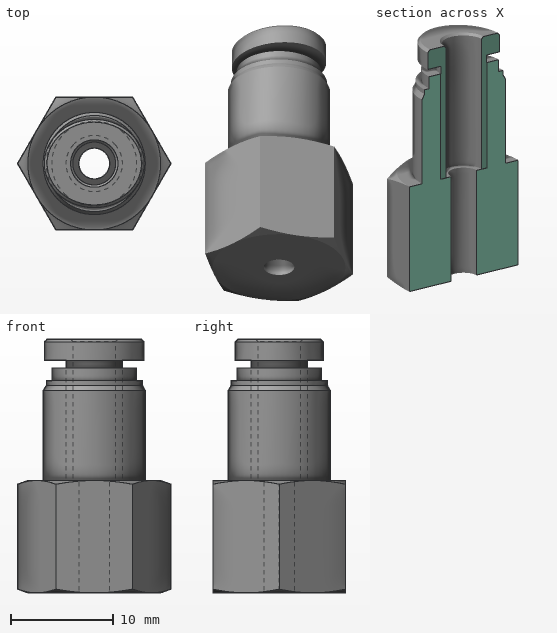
import cadquery as cq
import math

total_height = 24.8
hex_height = 10.99
shoulder_chamfer_start = 19.77
lip_start = 20.29
lip_top = 20.75
collar_top = 22.0
cap_bottom = 22.75

hex_across_flats = 13.0
hex_across_corners = hex_across_flats / math.cos(math.pi / 6)
hex_chamfer_angle = math.radians(20)
barrel_diameter = 10.0
lip_diameter = 9.4
collar_diameter = 8.3
passage_diameter = 3.0

sleeve_diameter = 5.5
sleeve_bottom = hex_height
tube_bore_diameter = 4.2
bore_chamfer = 0.22
cap_length = 9.77
cap_width = 8.63
cap_chamfer = 0.27


def revolve_profile(points):
    """Turn a closed radius-height outline about the Z axis."""
    return cq.Workplane("XZ").polyline(points).close().revolve(360, (0, 0, 0), (0, 1, 0))


def make_hexagon():
    """Hexagonal base with flats facing +Y and -Y and conically turned-down corners at both ends."""
    prism = cq.Workplane("XY").polygon(6, hex_across_corners).extrude(hex_height)
    flat_radius = hex_across_flats / 2
    corner_radius = hex_across_corners / 2
    corner_drop = (corner_radius - flat_radius) * math.tan(hex_chamfer_angle)
    turning_envelope = revolve_profile([
        (0, 0),
        (flat_radius, 0),
        (corner_radius, corner_drop),
        (corner_radius, hex_height - corner_drop),
        (flat_radius, hex_height),
        (0, hex_height),
    ])
    return prism.intersect(turning_envelope)


def make_barrel():
    """Round upper part of the housing, stepping in from the barrel to the lip and the collar."""
    return revolve_profile([
        (0, 0),
        (barrel_diameter / 2, 0),
        (barrel_diameter / 2, shoulder_chamfer_start),
        (lip_diameter / 2, lip_start),
        (lip_diameter / 2, lip_top),
        (collar_diameter / 2, lip_top),
        (collar_diameter / 2, collar_top),
        (0, collar_top),
    ])


def make_housing():
    """Hexagon and barrel with a through passage and a socket for the release sleeve."""
    passage = cq.Workplane("XY").circle(passage_diameter / 2).extrude(collar_top)
    socket = (
        cq.Workplane("XY")
        .workplane(offset=sleeve_bottom)
        .circle(sleeve_diameter / 2)
        .extrude(collar_top - sleeve_bottom)
    )
    return make_hexagon().union(make_barrel()).cut(passage).cut(socket)


def make_release_sleeve():
    """Thin tube with an oval push cap at its top and a chamfered bore for the hose."""
    cap = (
        cq.Workplane("XY")
        .workplane(offset=cap_bottom)
        .ellipse(cap_length / 2, cap_width / 2)
        .extrude(total_height - cap_bottom)
        .faces(">Z")
        .chamfer(cap_chamfer)
    )
    stem = (
        cq.Workplane("XY")
        .workplane(offset=sleeve_bottom)
        .circle(sleeve_diameter / 2)
        .extrude(cap_bottom - sleeve_bottom)
    )
    bore_radius = tube_bore_diameter / 2
    bore = revolve_profile([
        (0, sleeve_bottom),
        (bore_radius, sleeve_bottom),
        (bore_radius, total_height - bore_chamfer),
        (bore_radius + bore_chamfer, total_height),
        (0, total_height),
    ])
    return stem.union(cap).cut(bore)


housing = make_housing()
release_sleeve = make_release_sleeve()

result = cq.Compound.makeCompound([housing.val(), release_sleeve.val()])